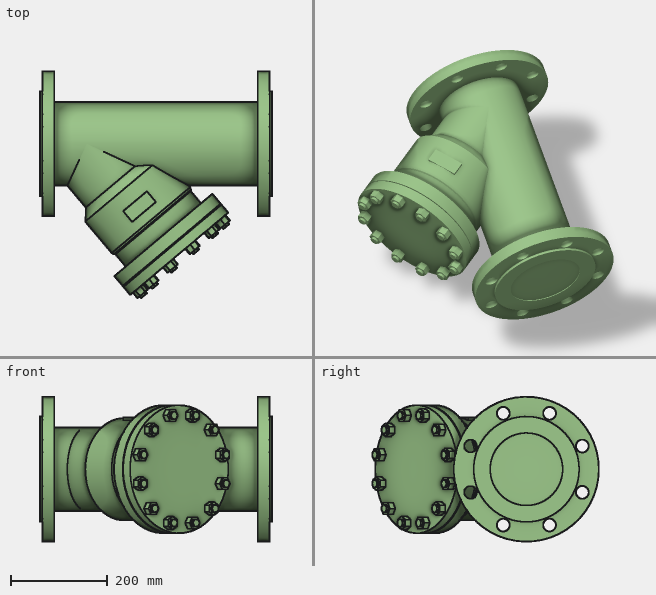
import cadquery as cq
import math

face_to_face = 480.0
pipe_radius = 86.5
flange_radius = 150.0
flange_thickness = 25.0
raised_face_radius = 109.0
raised_face_height = 5.0
port_radius = 75.0
port_depth = 1.5
flange_hole_count = 8
flange_hole_radius = 13.0
flange_bolt_circle_radius = 125.0
first_hole_angle = 180.0 / flange_hole_count

branch_lean = 40.0
branch_start_x = -143.0
neck_end = 99.5
cone_end = 121.0
body_radius = 106.0
body_end = 206.0
weld_radius = 104.3
weld_bevel_end = 211.0
collar_radius = 101.8
collar_start = 213.0

joint_radius = 132.5
body_flange_start = 246.0
body_flange_end = 273.0
gasket_radius = 86.0
gasket_thickness = 2.0
cover_start = body_flange_end + gasket_thickness
cover_end = 297.0

stud_count = 12
stud_circle_radius = 115.0
stud_radius = 8.0
stud_projection = 19.5
nut_across_flats = 24.0
nut_height = 14.8
first_stud_angle = 180.0 / stud_count
nut_turn = 15.0

pad_width = 64.0
pad_length = 29.0
pad_station = 169.5
pad_top = 107.0
pad_depth = 12.0


def cylinder(plane, start, end, radius):
    """Solid cylinder along the plane normal between two stations."""
    return cq.Workplane(plane).workplane(offset=start).circle(radius).extrude(end - start)


def make_pipe_end(direction):
    """Flange, raised face and bolt holes at the +X (1) or -X (-1) end."""
    end_plane = cq.Plane(
        origin=(direction * face_to_face / 2, 0, 0),
        xDir=(0, 1, 0),
        normal=(-direction, 0, 0),
    )
    flange_back = raised_face_height + flange_thickness
    raised_face = cylinder(end_plane, 0, raised_face_height, raised_face_radius)
    flange = cylinder(end_plane, raised_face_height, flange_back, flange_radius)
    holes = (
        cq.Workplane(end_plane)
        .polarArray(flange_bolt_circle_radius, first_hole_angle, 360.0, flange_hole_count)
        .circle(flange_hole_radius)
        .extrude(flange_back)
    )
    port = cylinder(end_plane, 0, port_depth, port_radius)
    return raised_face.union(flange).cut(holes).cut(port)


def make_run_pipe():
    half_length = face_to_face / 2 - raised_face_height
    return cylinder("YZ", -half_length, half_length, pipe_radius)


def make_branch_body():
    """Neck, cone, body, collar and body flange, revolved about the branch axis."""
    profile = [
        (0, 0),
        (pipe_radius, 0),
        (pipe_radius, neck_end),
        (body_radius, cone_end),
        (body_radius, body_end),
        (weld_radius, weld_bevel_end),
        (collar_radius, collar_start),
        (collar_radius, body_flange_start),
        (joint_radius, body_flange_start),
        (joint_radius, body_flange_end),
        (0, body_flange_end),
    ]
    profile_plane = cq.Plane(
        origin=branch_plane.origin,
        xDir=branch_plane.xDir,
        normal=branch_plane.xDir.cross(branch_plane.zDir),
    )
    return cq.Workplane(profile_plane).polyline(profile).close().revolve(360, (0, 0), (0, 1))


def make_cover():
    gasket = cylinder(branch_plane, body_flange_end, cover_start, gasket_radius)
    cover = cylinder(branch_plane, cover_start, cover_end, joint_radius)
    return gasket.union(cover)


def make_cover_fasteners():
    """Ring of studs with hexagon nuts, standing on the outer face of the cover."""
    nut_corner_diameter = nut_across_flats / math.cos(math.radians(30))
    seat = cq.Workplane(branch_plane).workplane(offset=cover_end)
    ring = seat.polarArray(stud_circle_radius, first_stud_angle, 360.0, stud_count)
    nut = (
        cq.Workplane("XY")
        .polygon(6, nut_corner_diameter)
        .extrude(nut_height)
        .rotate((0, 0, 0), (0, 0, 1), nut_turn)
    )
    nuts = ring.eachpoint(nut, useLocalCoordinates=True)
    studs = ring.circle(stud_radius).extrude(stud_projection)
    return nuts.union(studs)


def make_name_pad():
    return (
        cq.Workplane("XY")
        .box(pad_width, pad_length, pad_depth, centered=(True, True, False))
        .translate((0, -pad_station, pad_top - pad_depth))
        .rotate((0, 0, 0), (0, 0, 1), branch_lean)
        .translate((branch_start_x, 0, 0))
    )


lean = math.radians(branch_lean)
branch_plane = cq.Plane(
    origin=(branch_start_x, 0, 0),
    xDir=(math.cos(lean), math.sin(lean), 0),
    normal=(math.sin(lean), -math.cos(lean), 0),
)

result = (
    make_run_pipe()
    .union(make_branch_body())
    .union(make_pipe_end(-1))
    .union(make_pipe_end(1))
    .union(make_cover())
    .union(make_cover_fasteners())
    .union(make_name_pad())
)